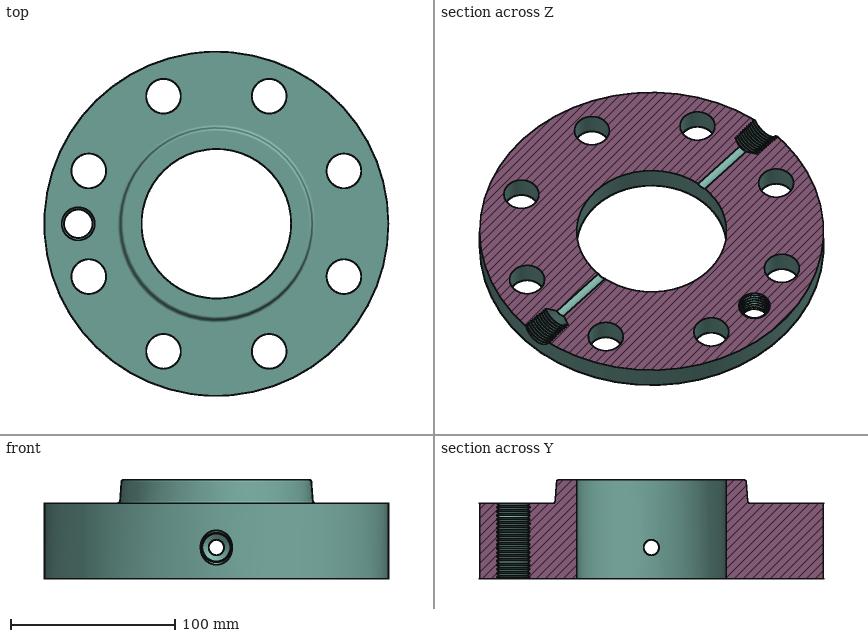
import cadquery as cq
import math

flange_diameter = 209.5
flange_thickness = 46.0
total_height = 60.4
bore_diameter = 91.0
hub_base_radius = 58.9
hub_top_radius = 57.8
hub_fillet = 1.5

bolt_circle_radius = 84.0
bolt_count = 8
bolt_hole_diameter = 21.0
jack_major_radius = 10.0
jack_thread_height = 1.5
jack_pitch = 2.5

port_height = 19.0
port_mouth_radius = 10.5
port_thread_depth = 19.3
port_thread_height = 1.5
port_pitch = 1.82
port_taper = 1 / 32
port_drill_radius = 4.6
drill_point_half_angle = math.radians(59)

flange_radius = flange_diameter / 2
bolt_step = 360 / bolt_count


def thread_points(mouth_radius, thread_height, pitch, length, taper=0.0):
    """Radius and depth of a V-groove profile, starting on a root at the mouth."""
    half_pitch = pitch / 2
    points = []
    for step in range(math.floor(length / half_pitch) + 1):
        depth = step * half_pitch
        root_radius = mouth_radius - taper * depth
        is_crest = step % 2 == 1
        points.append((root_radius - thread_height * is_crest, depth))
    return points


def revolved_cutter(profile):
    """Solid of revolution about Z; the profile runs down from the XY plane."""
    outline = [(radius, -depth) for radius, depth in profile]
    axis_end = (0, outline[-1][1])
    half_section = cq.Workplane("XZ").polyline([(0, 0)] + outline + [axis_end]).close()
    return half_section.revolve(360, (0, 0), (0, 1))


def make_body():
    """Flange disc with a tapered hub, filleted at its rim and its foot."""
    outline = [
        (0, 0),
        (flange_radius, 0),
        (flange_radius, flange_thickness),
        (hub_base_radius, flange_thickness),
        (hub_top_radius, total_height),
        (0, total_height),
    ]
    body = cq.Workplane("XZ").polyline(outline).close().revolve(360, (0, 0), (0, 1))
    body = body.faces(">Z").edges().fillet(hub_fillet)
    hub_foot = body.edges(cq.selectors.RadiusNthSelector(-2))
    return hub_foot.fillet(hub_fillet)


def make_bore():
    """Plain bore through the flange and hub."""
    return cq.Workplane("XY").circle(bore_diameter / 2).extrude(total_height)


def make_bolt_holes():
    """Eight through holes straddling the X and Y axes."""
    return (
        cq.Workplane("XY")
        .polarArray(bolt_circle_radius, bolt_step / 2, 360, bolt_count)
        .circle(bolt_hole_diameter / 2)
        .extrude(flange_thickness)
    )


def make_jack_hole():
    """Threaded through hole on the -X side, with ring grooves for the thread."""
    jack_minor_radius = jack_major_radius - jack_thread_height
    profile = thread_points(jack_major_radius, jack_thread_height, jack_pitch, flange_thickness)
    profile.append((jack_minor_radius, flange_thickness))
    return revolved_cutter(profile).translate((-bolt_circle_radius, 0, flange_thickness))


def make_port():
    """Taper-threaded port on the -Y side, drilled on into the bore."""
    profile = thread_points(
        port_mouth_radius, port_thread_height, port_pitch, port_thread_depth, port_taper
    )
    end_radius, end_depth = profile[-1]
    cone_length = (end_radius - port_drill_radius) / math.tan(drill_point_half_angle)
    profile.append((port_drill_radius, end_depth + cone_length))
    profile.append((port_drill_radius, flange_radius))
    cutter = revolved_cutter(profile)
    return cutter.rotate((0, 0, 0), (1, 0, 0), 90).translate((0, -flange_radius, port_height))


port = make_port()
opposite_port = port.mirror("XZ")

result = (
    make_body()
    .cut(make_bore())
    .cut(make_bolt_holes())
    .cut(make_jack_hole())
    .cut(port)
    .cut(opposite_port)
)